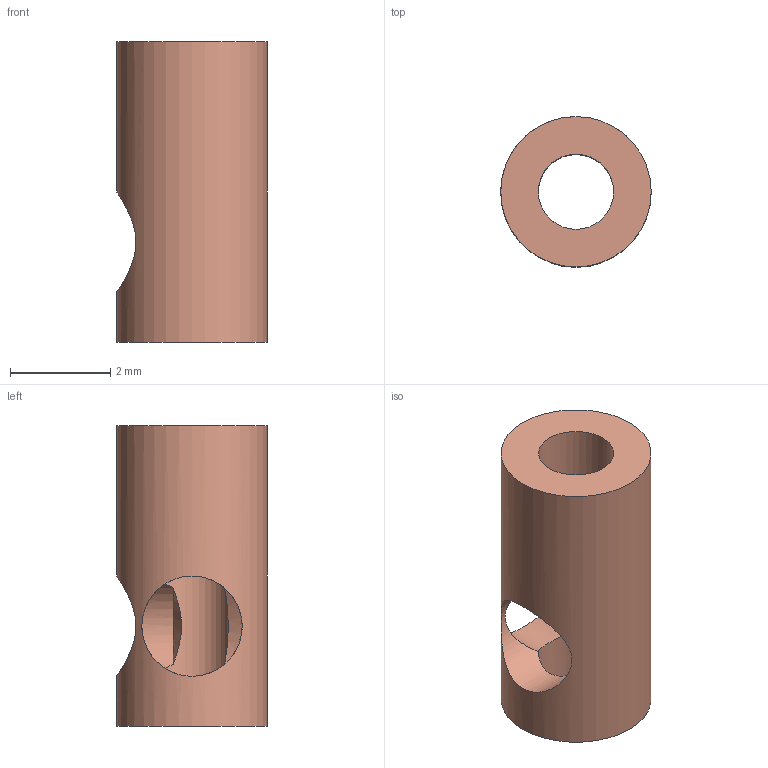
import cadquery as cq
import math

outer_diameter = 3.0
bore_diameter = 1.5
height = 6.0

drill_diameter = 2.0
drill_point_angle = 118.0
drill_height = 2.0
full_diameter_depth = 1.125
entry_directions = [(-1, 0, 0), (0, 1, 0)]

outer_radius = outer_diameter / 2
drill_radius = drill_diameter / 2
tip_length = drill_radius / math.tan(math.radians(drill_point_angle / 2))


def tube():
    return (
        cq.Workplane("XY")
        .circle(outer_radius)
        .circle(bore_diameter / 2)
        .extrude(height)
    )


def drilled_hole(outward):
    """Round hole with a conical tip, centred on the radial line along outward."""
    shoulder = outer_radius - full_diameter_depth
    tip = shoulder - tip_length
    across = cq.Vector(0, 0, 1)
    normal = across.cross(cq.Vector(outward))
    section_plane = cq.Plane(origin=(0, 0, drill_height), xDir=across, normal=normal)
    return (
        cq.Workplane(section_plane)
        .moveTo(0, tip)
        .lineTo(drill_radius, shoulder)
        .lineTo(drill_radius, outer_radius)
        .lineTo(0, outer_radius)
        .close()
        .revolve(360, (0, 0), (0, 1))
    )


result = tube()
for entry_direction in entry_directions:
    result = result.cut(drilled_hole(entry_direction))